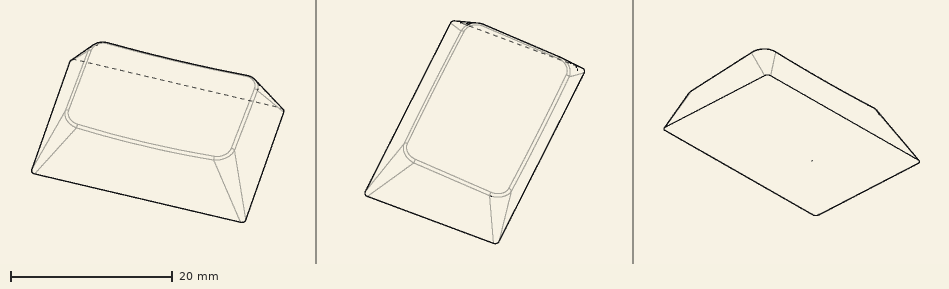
import cadquery as cq
import math

length = 27.62
width = 18.1
base_corner_radius = 0.52

top_length = 21.55
top_front_y = -5.47
top_back_y = 8.85
top_corner_radius = 2.2
top_front_height = 7.55
top_tilt = 6.1

dish_radius = 124.3
dish_depth = 0.52
rim_radius = 0.41

tilt_angle = math.radians(top_tilt)
top_depth = (top_back_y - top_front_y) / math.cos(tilt_angle)
top_center_y = (top_front_y + top_back_y) / 2
top_center_height = top_front_height - top_depth / 2 * math.sin(tilt_angle)
top_center = cq.Vector(0, top_center_y, top_center_height)
top_normal = cq.Vector(0, math.sin(tilt_angle), math.cos(tilt_angle))
x_direction = cq.Vector(1, 0, 0)
top_plane = cq.Plane(origin=top_center, xDir=x_direction, normal=top_normal)


def rounded_outline(plane, size_x, size_y, corner_radius):
    """Closed rectangle with round corners, centered on a plane."""
    sketch = cq.Sketch().rect(size_x, size_y).vertices().fillet(corner_radius)
    return cq.Workplane(plane).placeSketch(sketch)


def tapered_body():
    """Solid with ruled walls from the flat base to the tilted top."""
    base = rounded_outline(cq.Plane.XY(), length, width, base_corner_radius)
    top = rounded_outline(top_plane, top_length, top_depth, top_corner_radius)
    base_wire = base._getFaces()[0].outerWire()
    top_wire = top._getFaces()[0].outerWire()
    return cq.Workplane(cq.Solid.makeLoft([base_wire, top_wire], True))


def dish_cutter():
    """Long cylinder that runs front to back, parallel to the tilted top."""
    axis_direction = top_plane.yDir
    axis_middle = top_center + top_normal * (dish_radius - dish_depth)
    cutter_length = 2 * width
    axis_start = axis_middle - axis_direction * (cutter_length / 2)
    cylinder = cq.Solid.makeCylinder(dish_radius, cutter_length, axis_start, axis_direction)
    return cq.Workplane(cylinder)


dished_body = tapered_body().cut(dish_cutter())

result = dished_body.faces("%CYLINDER").edges().fillet(rim_radius)